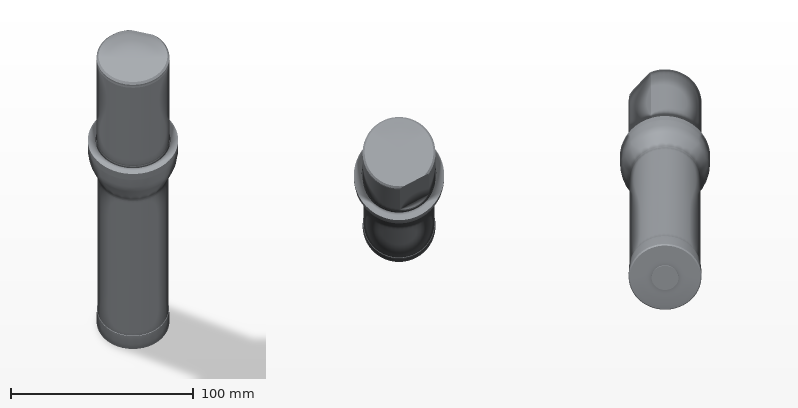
import cadquery as cq

total_height = 223.0
boss_height = 0.7
cap_top = 11.8
bell_bottom = 124.2
bell_top = 148.0
collar_top = 153.0

grip_radius = 38.8 / 2
cap_top_radius = 39.5 / 2
cap_radius = 40.0 / 2
cap_edge = 0.7
boss_radius = 7.4
collar_radius = 49.5 / 2
bell_mid_z = 135.0
bell_mid_radius = 22.7
bell_foot_z = 127.8
bell_foot_radius = 20.0

socket_depth = 4.5
socket_radius = 20.5
insert_radius = 40.0 / 2
tip_chamfer = 1.1
groove_depth = 0.2
tip_groove_top = 221.2
tip_groove_floor_end = 220.5
tip_groove_bottom = 219.5
neck_groove_top = 154.5
neck_groove_floor_end = 153.9
neck_groove_bottom = 153.5

flat_y = 17.8
flat_ramp_end = 159.0

socket_floor = collar_top - socket_depth


def make_handle():
    """Turned grip with an end cap, a flared collar and an open socket."""
    cap_mid_z = (boss_height + cap_edge + cap_top) / 2
    bell_points = [
        (bell_foot_radius, bell_foot_z),
        (bell_mid_radius, bell_mid_z),
        (collar_radius, bell_top),
    ]
    profile = (
        cq.Workplane("XZ")
        .lineTo(boss_radius, 0)
        .lineTo(boss_radius, boss_height)
        .lineTo(cap_radius - cap_edge, boss_height)
        .lineTo(cap_radius, boss_height + cap_edge)
        .threePointArc((cap_radius, cap_mid_z), (cap_top_radius, cap_top))
        .lineTo(grip_radius, cap_top)
        .lineTo(grip_radius, bell_bottom)
        .spline(bell_points, tangents=[(0, 1), (0, 1)], includeCurrent=True)
        .lineTo(collar_radius, collar_top)
        .lineTo(socket_radius, collar_top)
        .lineTo(socket_radius, socket_floor)
        .lineTo(0, socket_floor)
        .close()
    )
    return profile.revolve(360, (0, 0, 0), (0, 1, 0))


def cut_groove(body, bottom, floor_end, top):
    """Cut a shallow groove with a square upper wall and a sloped lower wall."""
    floor_radius = insert_radius - groove_depth
    ring = (
        cq.Workplane("XZ")
        .moveTo(insert_radius, top)
        .lineTo(floor_radius, top)
        .lineTo(floor_radius, floor_end)
        .lineTo(insert_radius, bottom)
        .close()
        .revolve(360, (0, 0, 0), (0, 1, 0))
    )
    return body.cut(ring)


def cut_flat(body):
    """Cut the lengthwise flat and its ramp."""
    clear_y = collar_radius
    ramp_run = clear_y - flat_y
    flat = (
        cq.Workplane("YZ")
        .moveTo(flat_y, total_height)
        .lineTo(flat_y, flat_ramp_end)
        .lineTo(clear_y, flat_ramp_end - ramp_run)
        .lineTo(clear_y, total_height)
        .close()
        .extrude(collar_radius, both=True)
    )
    return body.cut(flat)


def make_insert():
    """Round insert resting on the socket floor."""
    body = (
        cq.Workplane("XY")
        .workplane(offset=socket_floor)
        .circle(insert_radius)
        .extrude(total_height - socket_floor)
        .faces(">Z")
        .chamfer(tip_chamfer)
    )
    body = cut_groove(body, tip_groove_bottom, tip_groove_floor_end, tip_groove_top)
    body = cut_groove(body, neck_groove_bottom, neck_groove_floor_end, neck_groove_top)
    return cut_flat(body)


handle = make_handle()
insert = make_insert()
result = cq.Compound.makeCompound([handle.val(), insert.val()])